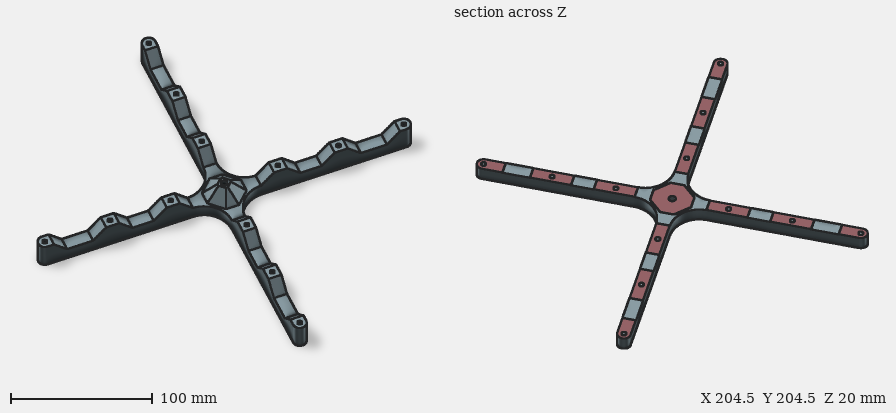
import cadquery as cq
import math

overall_span = 204.5
arm_width = 10.0
arm_thickness = 10.0
bump_height = 10.0
top_level = arm_thickness + bump_height

tip_radius = arm_width / 2
tip_distance = (overall_span / 2 - tip_radius) * math.sqrt(2)
inner_bump_distance = 41.1
outer_bump_distance = 87.5
bump_distances = [inner_bump_distance, outer_bump_distance]

bump_top_half = arm_width / 2
bump_base_half = 1.5 * arm_width

web_radius = 21.3
web_reach = web_radius + arm_width / 2
hub_base_reach = bump_base_half
hub_top_reach = 4.7
hub_top_side = 1.6

bump_hole_diameter = 3.3
bump_hole_depth = bump_height
hub_hole_diameter = 4.7

arm_angles = [45, 135, 225, 315]
web_angles = [0, 90, 180, 270]


def turned(shape, angle):
    """Shape turned about the part axis."""
    return shape.rotate((0, 0, 0), (0, 0, 1), angle)


def arm():
    """One arm along +X, with its bumps and rounded tip."""
    profile = cq.Workplane("XZ").moveTo(0, 0).lineTo(0, arm_thickness)
    for distance in bump_distances:
        profile = (
            profile.lineTo(distance - bump_base_half, arm_thickness)
            .lineTo(distance - bump_top_half, top_level)
            .lineTo(distance + bump_top_half, top_level)
            .lineTo(distance + bump_base_half, arm_thickness)
        )
    bar = (
        profile.lineTo(tip_distance - bump_base_half, arm_thickness)
        .lineTo(tip_distance - bump_top_half, top_level)
        .lineTo(tip_distance, top_level)
        .lineTo(tip_distance, 0)
        .close()
        .extrude(arm_width / 2, both=True)
    )
    tip = cq.Workplane("XY").center(tip_distance, 0).circle(tip_radius).extrude(top_level)
    return bar.union(tip)


def bump_holes():
    """Blind holes down into the bumps and the tip of one arm along +X."""
    return (
        cq.Workplane("XY", origin=(0, 0, top_level))
        .pushPoints([(distance, 0) for distance in bump_distances + [tip_distance]])
        .circle(bump_hole_diameter / 2)
        .extrude(-bump_hole_depth)
    )


def hub_octagon(reach, side):
    """Corners of an octagon whose sides across the arms have length side and lie at distance reach."""
    far = (reach + side / 2) / math.sqrt(2)
    near = (reach - side / 2) / math.sqrt(2)
    return [
        (far, near), (near, far), (-near, far), (-far, near),
        (-far, -near), (-near, -far), (near, -far), (far, -near),
    ]


def hub_web():
    """Plate under the hub whose concave sides run tangent into the arms."""
    web = cq.Workplane("XY").polyline(hub_octagon(web_reach, arm_width)).close().extrude(arm_thickness)
    hollow = (
        cq.Workplane("XY")
        .center(web_reach * math.sqrt(2), 0)
        .circle(web_radius)
        .extrude(arm_thickness)
    )
    for angle in web_angles:
        web = web.cut(turned(hollow, angle))
    return web


def hub_pyramid():
    """Eight-sided pyramid with a flat top; an arm meets every second side."""
    return (
        cq.Workplane("XY", origin=(0, 0, arm_thickness))
        .polyline(hub_octagon(hub_base_reach, arm_width))
        .close()
        .workplane(offset=bump_height)
        .polyline(hub_octagon(hub_top_reach, hub_top_side))
        .close()
        .loft(ruled=True)
    )


result = hub_web().union(hub_pyramid())
for angle in arm_angles:
    result = result.union(turned(arm(), angle))

for angle in arm_angles:
    result = result.cut(turned(bump_holes(), angle))
hub_hole = cq.Workplane("XY").circle(hub_hole_diameter / 2).extrude(top_level)
result = result.cut(hub_hole)